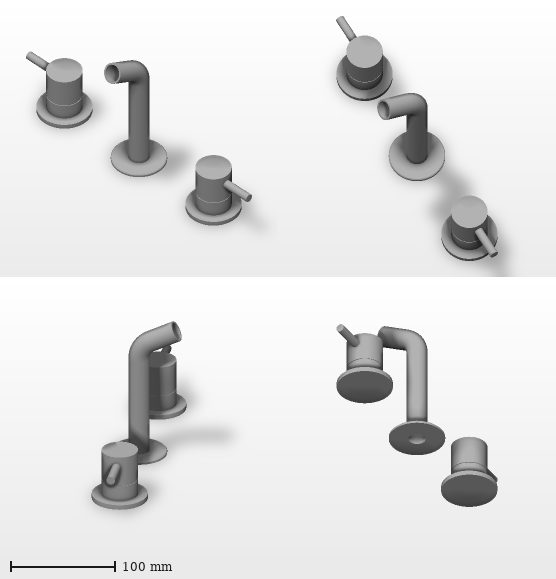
import cadquery as cq
import math

overall_length = 295.0
overall_height = 142.0
handle_spacing = 100.0

handle_flange_diameter = 54.0
handle_flange_thickness = 4.7
handle_diameter = 35.0
handle_height = 51.0
groove_bottom = 20.6
groove_width = 1.0
groove_depth = 0.5
lever_diameter = 8.3
lever_axis_height = 40.7
lever_reach = overall_length / 2 - handle_spacing

spout_flange_diameter = 54.3
spout_flange_thickness = 3.0
rim_chamfer = 1.0

pipe_diameter = 20.5
bore_diameter = 16.8
riser_height = 101.5
bend_radius = 20.6
bend_angle = math.radians(63)
pipe_radius = pipe_diameter / 2
bend_end_height = riser_height + bend_radius * math.sin(bend_angle)
outlet_rise = overall_height - bend_end_height - pipe_radius * math.sin(bend_angle)
outlet_length = outlet_rise / math.cos(bend_angle)


def cylinder(diameter, height, base=0):
    """Vertical cylinder on the Z axis."""
    return cq.Workplane("XY").workplane(offset=base).circle(diameter / 2).extrude(height)


def make_handle(side):
    """One handle; side is -1 or +1 along X, and its lever points that way."""
    flange = cylinder(handle_flange_diameter, handle_flange_thickness)
    body = cylinder(handle_diameter, handle_height)
    groove = cylinder(handle_diameter, groove_width, groove_bottom).cut(
        cylinder(handle_diameter - 2 * groove_depth, groove_width, groove_bottom)
    )
    lever = (
        cq.Workplane("YZ")
        .center(0, lever_axis_height)
        .circle(lever_diameter / 2)
        .extrude(side * lever_reach)
    )
    handle = flange.union(body.cut(groove)).union(lever)
    return handle.translate((side * handle_spacing, 0, 0))


def make_spout_flange():
    """Disc around the riser, with a hole that fits the pipe."""
    disc = cylinder(spout_flange_diameter, spout_flange_thickness)
    disc = disc.faces(">Z").edges().chamfer(rim_chamfer)
    return disc.cut(cylinder(pipe_diameter, spout_flange_thickness))


def bend_point(angle):
    """Point (Y, Z) on the bend centreline after turning through angle."""
    return (
        -bend_radius * (1 - math.cos(angle)),
        riser_height + bend_radius * math.sin(angle),
    )


def make_spout_pipe():
    """Open tube swept along the riser, bend and outlet."""
    bend_end_y, bend_end_z = bend_point(bend_angle)
    outlet_end = (
        bend_end_y - outlet_length * math.sin(bend_angle),
        bend_end_z + outlet_rise,
    )
    path = (
        cq.Workplane("YZ")
        .moveTo(0, 0)
        .lineTo(0, riser_height)
        .threePointArc(bend_point(bend_angle / 2), (bend_end_y, bend_end_z))
        .lineTo(*outlet_end)
    )
    ring = cq.Workplane("XY").circle(pipe_radius).circle(bore_diameter / 2)
    return ring.sweep(path)


handles = [make_handle(side) for side in (-1, 1)]
spout_flange = make_spout_flange()
spout_pipe = make_spout_pipe()

result = cq.Compound.makeCompound(
    [spout_flange.val(), spout_pipe.val(), *[handle.val() for handle in handles]]
)